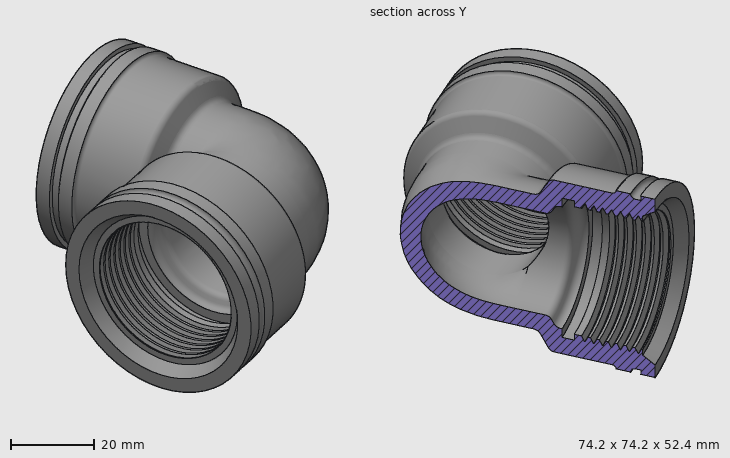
import cadquery as cq
import math


overall_length = 74.2
rim_radius = 26.2
axis_to_mouth = overall_length - rim_radius

groove_radius = 24.9
body_radius = 25.2
rim_end = 3.8
band_start = 6.3
band_end = 10.1
shoulder_start = 25.9
shoulder_angle = math.radians(60)
shoulder_fillet = 2.0

tube_radius = 19.8
tube_bore_radius = 14.85
bend_radius = 11.0

mouth_radius = 22.4
relief_radius = 20.3
chamfer_depth = 3.2
relief_start = 20.85
relief_end = 24.0
throat_radius = 17.8
throat_length = 0.4

thread_minor_radius = 18.6
thread_major_radius = 20.2
thread_pitch = 2.3
thread_flank_angle = math.radians(27.5)
groove_half_width = (thread_major_radius - thread_minor_radius) * math.tan(thread_flank_angle)
groove_count = math.floor((relief_start - chamfer_depth) / thread_pitch)

tube_end = axis_to_mouth - bend_radius


def revolve_about_x(profile):
    return profile.close().revolve(360, (0, 0), (1, 0))


def fillet_offsets(angle):
    """Axial run and radial drop of a shoulder fillet that turns by the given angle."""
    return shoulder_fillet * math.sin(angle), shoulder_fillet * (1 - math.cos(angle))


def add_shoulder(profile, start, large_radius, small_radius):
    """Step the profile down through a cone with a tangent fillet at each end."""
    run, drop = fillet_offsets(shoulder_angle)
    half_run, half_drop = fillet_offsets(shoulder_angle / 2)
    cone_drop = large_radius - small_radius - 2 * drop
    cone_start = start + run
    cone_end = cone_start + cone_drop / math.tan(shoulder_angle)
    end = cone_end + run
    return (
        profile.lineTo(start, large_radius)
        .threePointArc((start + half_run, large_radius - half_drop), (cone_start, large_radius - drop))
        .lineTo(cone_end, small_radius + drop)
        .threePointArc((end - half_run, small_radius + half_drop), (end, small_radius))
    )


def add_thread(profile):
    """Add the V grooves of the thread to the bore profile."""
    for index in range(groove_count):
        center = chamfer_depth + (index + 0.5) * thread_pitch
        profile = (
            profile.lineTo(center - groove_half_width, thread_minor_radius)
            .lineTo(center, thread_major_radius)
            .lineTo(center + groove_half_width, thread_minor_radius)
        )
    return profile


def port_outside():
    """Solid of one port along +X with its mouth at the YZ plane."""
    groove_fillet = rim_radius - groove_radius
    band_fillet = rim_radius - body_radius
    diagonal = math.sqrt(0.5)

    profile = (
        cq.Workplane("XY")
        .lineTo(0, rim_radius)
        .lineTo(rim_end, rim_radius)
        .lineTo(rim_end, groove_radius)
        .lineTo(band_start - groove_fillet, groove_radius)
        .threePointArc(
            (band_start - groove_fillet * (1 - diagonal), rim_radius - groove_fillet * diagonal),
            (band_start, rim_radius),
        )
        .lineTo(band_end, rim_radius)
        .threePointArc(
            (band_end + band_fillet * (1 - diagonal), rim_radius - band_fillet * diagonal),
            (band_end + band_fillet, body_radius),
        )
    )
    profile = add_shoulder(profile, shoulder_start, body_radius, tube_radius)
    return revolve_about_x(profile.lineTo(tube_end, tube_radius).lineTo(tube_end, 0))


def port_bore():
    """Chamfered mouth, thread, thread relief, throat and tube bore of one port."""
    profile = (
        cq.Workplane("XY")
        .lineTo(0, mouth_radius)
        .lineTo(chamfer_depth, relief_radius)
        .lineTo(chamfer_depth, thread_minor_radius)
    )
    profile = (
        add_thread(profile)
        .lineTo(relief_start, thread_minor_radius)
        .lineTo(relief_start, relief_radius)
        .lineTo(relief_end, relief_radius)
        .lineTo(relief_end, throat_radius)
    )
    profile = add_shoulder(profile, relief_end + throat_length, throat_radius, tube_bore_radius)
    return revolve_about_x(profile.lineTo(tube_end, tube_bore_radius).lineTo(tube_end, 0))


def bend(radius):
    """Quarter turn of a round bar; its inner side is cut off at the bend axis."""
    half_height = math.sqrt(radius**2 - bend_radius**2)
    return (
        cq.Workplane("XZ")
        .moveTo(0, -half_height)
        .threePointArc((bend_radius + radius, 0), (0, half_height))
        .close()
        .revolve(90, (0, 0), (0, 1))
        .translate((-bend_radius, -bend_radius, 0))
    )


def at_x_port(shape):
    return shape.translate((-axis_to_mouth, 0, 0))


def at_y_port(shape):
    return at_x_port(shape).rotate((0, 0, 0), (0, 0, 1), 90)


outside = port_outside()
bore = port_bore()

result = bend(tube_radius).union(at_x_port(outside)).union(at_y_port(outside))
result = result.cut(at_x_port(bore)).cut(at_y_port(bore)).cut(bend(tube_bore_radius))